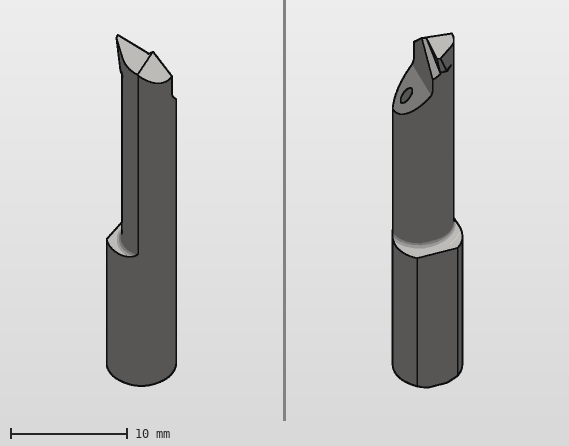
import cadquery as cq
import math

total_length = 37.0
shank_radius = 3.0
flat_x = -2.35
shank_length = 15.0
end_chamfer = 0.5

neck_radius = 2.7
neck_left_x = -1.5
neck_center_x = neck_left_x + neck_radius
neck_fillet = 0.75

hole_diameter = 1.0
hole_x = 1.0
hole_y = 1.55

pocket_y = 0.1
pocket_mouth_z = 28.9
pocket_slope = math.radians(40.0)
pocket_blend_radius = 1.3

end_edge_angle = math.radians(6.5)
end_relief_angle = math.radians(9.0)
bevel_angle = math.radians(46.0)
bevel_relief_angle = math.radians(6.5)
bevel_start_x = 1.1

tip_y = 0.03
tip_bottom_z = 34.4
side_edge_angle = math.radians(21.0)
secondary_x = -0.72

groove_slope_x = -0.064
groove_slope_z = 0.235
groove_low_x = neck_left_x
groove_low_z = 34.0
groove_wall_lean = math.radians(15.0)

margin = 5.0


def half_space(point, normal, x_axis=(1, 0, 0)):
    """Large block filling the side of a plane that its normal points to."""
    size = 4 * total_length
    plane = cq.Plane(origin=point, xDir=x_axis, normal=normal)
    return cq.Workplane(plane).rect(size, size).extrude(size)


def make_shank():
    bar = cq.Workplane("XY").circle(shank_radius).extrude(total_length + margin)
    bar = bar.faces("<Z").chamfer(end_chamfer)
    return bar.cut(half_space((flat_x, 0, 0), (-1, 0, 0), (0, 1, 0)))


def make_neck_cutter():
    """Ring around the neck cylinder, rounded at its inner bottom corner."""
    outer = neck_radius + margin
    top = total_length + 2 * margin
    blend = neck_fillet * (1 - math.sqrt(0.5))
    profile = (
        cq.Workplane("XZ", origin=(neck_center_x, 0, 0))
        .moveTo(neck_radius, top)
        .lineTo(neck_radius, shank_length + neck_fillet)
        .threePointArc(
            (neck_radius + blend, shank_length + blend),
            (neck_radius + neck_fillet, shank_length),
        )
        .lineTo(outer, shank_length)
        .lineTo(outer, top)
        .close()
    )
    return profile.revolve(360, (0, 0, 0), (0, 1, 0))


def make_tip():
    """Block overhanging the neck, bounded by primary and secondary side relief."""
    secondary_y = -math.sqrt(neck_radius**2 - (secondary_x - neck_center_x) ** 2)
    corner_y = secondary_y + secondary_x - flat_x
    block = (
        cq.Workplane("XY", origin=(0, 0, tip_bottom_z))
        .moveTo(secondary_x, secondary_y)
        .lineTo(flat_x, corner_y)
        .lineTo(flat_x, pocket_y)
        .lineTo(secondary_x, pocket_y)
        .close()
        .extrude(total_length + margin - tip_bottom_z)
    )
    primary_normal = (-math.cos(side_edge_angle), 0, -math.sin(side_edge_angle))
    return block.cut(half_space((flat_x, 0, total_length), primary_normal, (0, 1, 0)))


def make_pocket():
    run = shank_radius - pocket_y
    corner_z = pocket_mouth_z + run / math.tan(pocket_slope)
    reach = margin / math.tan(pocket_slope)
    top = total_length + 2 * margin
    pocket = (
        cq.Workplane("YZ")
        .moveTo(pocket_y, corner_z)
        .lineTo(shank_radius + margin, pocket_mouth_z - reach)
        .lineTo(shank_radius + margin, top)
        .lineTo(pocket_y, top)
        .close()
        .extrude(2 * margin, both=True)
    )
    corner = cq.selectors.NearestToPointSelector((0, pocket_y, corner_z))
    return pocket.edges(corner).fillet(pocket_blend_radius)


def make_end_relief():
    normal = (math.tan(end_edge_angle), -math.tan(end_relief_angle), 1)
    return half_space((flat_x, tip_y, total_length), normal, (0, 1, math.tan(end_relief_angle)))


def make_back_bevel():
    start_z = total_length - (bevel_start_x - flat_x) * math.tan(end_edge_angle)
    normal = (math.tan(bevel_angle), -math.tan(bevel_relief_angle), 1)
    return half_space(
        (bevel_start_x, tip_y, start_z), normal, (0, 1, math.tan(bevel_relief_angle))
    )


def make_groove():
    """Space above the rake plane and on the tip side of the leaning groove wall."""
    rake_normal = (-groove_slope_x, 1, -groove_slope_z)
    above_rake = half_space((flat_x, tip_y, total_length), rake_normal, (0, groove_slope_z, 1))
    level = math.sqrt(0.5) * math.cos(groove_wall_lean)
    wall_normal = (-level, math.sin(groove_wall_lean), level)
    tip_side = half_space((groove_low_x, pocket_y, groove_low_z), wall_normal, (1, 0, 1))
    return above_rake.intersect(tip_side)


def make_coolant_hole():
    return (
        cq.Workplane("XY")
        .center(hole_x, hole_y)
        .circle(hole_diameter / 2)
        .extrude(total_length + margin)
    )


result = (
    make_shank()
    .cut(make_neck_cutter())
    .union(make_tip())
    .cut(make_pocket())
    .cut(make_end_relief())
    .cut(make_back_bevel())
    .cut(make_groove())
    .cut(make_coolant_hole())
)